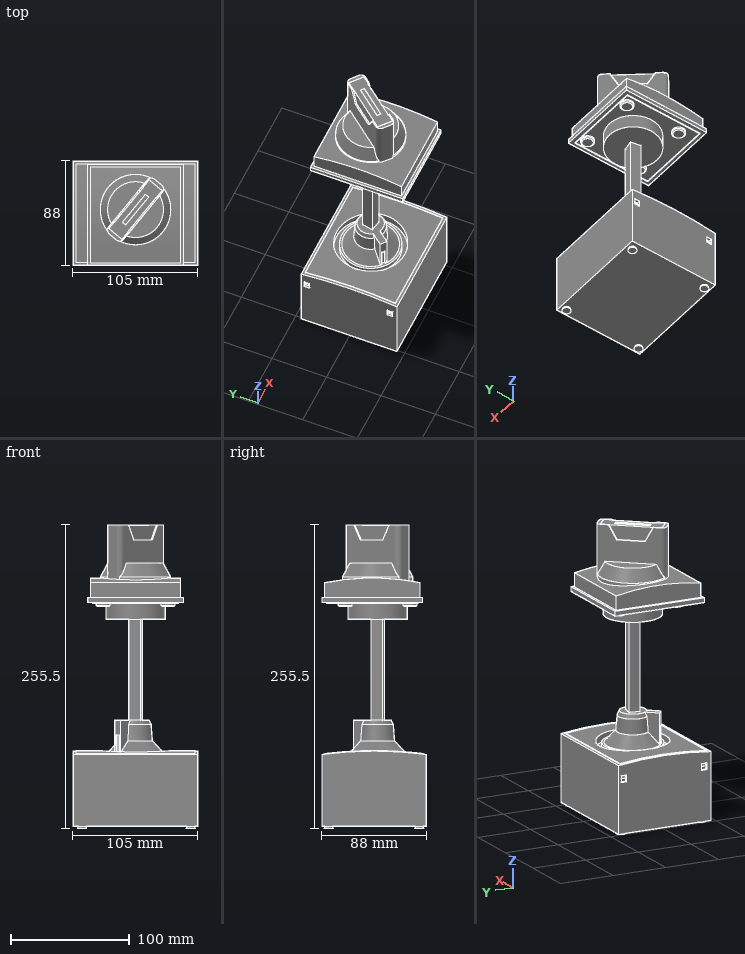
import cadquery as cq


AXIS_X = 0.0
AXIS_Y = 3.0
POINTER_ANGLE = 50.5
SHAFT_ANGLE = -10.5

BASE_LENGTH = 105.0
BASE_WIDTH = 88.0
BASE_BOTTOM = 1.8
BASE_EDGE_TOP = 62.4
BASE_CREST = 65.2
LABEL_INSET = 2.5
LABEL_RAISE = 0.5
DIAL_WELL_RADIUS = 31.2
DIAL_WELL_FLOOR = 58.0

FOOT_RADIUS = 3.8
FOOT_NECK_RADIUS = 3.3
FOOT_CENTRE_X = 0.8
FOOT_OFFSET_X = 45.8
FOOT_OFFSET_Y = 38.0

POCKET_WIDTH = 4.9
POCKET_HEIGHT = 6.0
POCKET_CENTRE_Z = 50.0
POCKET_CENTRE_Y = 0.8
POCKET_OFFSET_Y = 38.0
POCKET_RIDGE_DEPTH = 1.3
POCKET_BOTTOM_DEPTH = 2.0
POCKET_TOP_DEPTH = 3.0

DIAL_RADIUS = 26.3
DIAL_TOP = 63.1
CONE_BASE_RADIUS = 24.3
COLLAR_BASE_RADIUS = 14.3
COLLAR_BASE_Z = 73.9
COLLAR_RADIUS = 13.3
COLLAR_SHOULDER_Z = 87.5
COLLAR_TOP_RADIUS = 11.5
COLLAR_TOP = 91.2
KEY_WIDTH = 6.5
KEY_REACH = 23.8
KEY_SLOT_WIDTH = 3.0
KEY_SLOT_DEPTH = 1.0
KEY_SLOT_TOP = 78.7

SHAFT_SIDE = 10.0
SHAFT_INSERTION = 12.8

PLATE_CENTRE_Y = -1.5
PLATE_LENGTH = 80.8
PLATE_WIDTH = 84.9
PLATE_BOTTOM = 190.2
PLATE_TOP = 194.5
BODY_LENGTH = 76.0
BODY_WIDTH = 80.5
BODY_EDGE_TOP = 207.0
BODY_CREST = 210.9
GASKET_INSET = 4.0
GASKET_THICKNESS = 0.8
BOSS_RADIUS = 25.0
BOSS_BOTTOM = 176.0
SCREW_OFFSET = 27.3
SCREW_RADIUS = 6.0
SCREW_HEIGHT = 3.3
SCREW_CHAMFER = 1.0

SKIRT_RADIUS = 29.6
SKIRT_RIM_TOP = 212.0
SKIRT_TOP_RADIUS = 23.5
SKIRT_TOP = 223.5
GRIP_LENGTH = 59.8
GRIP_WIDTH = 16.4
GRIP_CORNER_RADIUS = 4.3
GRIP_TOP = 255.5
CAP_LENGTH = 53.2
CAP_WIDTH = 14.3
MARK_LENGTH = 30.5
MARK_WIDTH = 3.5
ENGRAVING_DEPTH = 0.3
HOLLOW_TOP_LENGTH = 38.3
HOLLOW_BOTTOM_LENGTH = 24.3
HOLLOW_BOTTOM = 242.8
HOLLOW_DEPTH = 1.3


def block(length, width, bottom, top, x=0.0, y=0.0):
    """Upright rectangular block centred on (x, y)."""
    return (
        cq.Workplane("XY", origin=(x, y, bottom))
        .rect(length, width)
        .extrude(top - bottom)
    )


def cylinder(radius, bottom, top, x=AXIS_X, y=AXIS_Y):
    """Upright cylinder centred on (x, y)."""
    return cq.Workplane("XY", origin=(x, y, bottom)).circle(radius).extrude(top - bottom)


def turned(profile):
    """Solid turned about the common axis from (radius, z) points."""
    return (
        cq.Workplane("XZ", origin=(AXIS_X, AXIS_Y, 0))
        .polyline(profile)
        .close()
        .revolve(360, (0, 0, 0), (0, 1, 0))
    )


def crowned_block(length, width, bottom, edge_top, crest, y=0.0):
    """Block whose top is an arc across Y, highest along its middle."""
    half = width / 2
    return (
        cq.Workplane("YZ", origin=(-length / 2, y, 0))
        .moveTo(-half, bottom)
        .lineTo(half, bottom)
        .lineTo(half, edge_top)
        .threePointArc((0, crest), (-half, edge_top))
        .close()
        .extrude(length)
    )


def turn_about_axis(shape, angle):
    return shape.rotate((AXIS_X, AXIS_Y, 0), (AXIS_X, AXIS_Y, 1), angle)


def make_shaft():
    shaft = block(
        SHAFT_SIDE,
        SHAFT_SIDE,
        COLLAR_TOP - SHAFT_INSERTION,
        BOSS_BOTTOM + SHAFT_INSERTION,
        AXIS_X,
        AXIS_Y,
    )
    return turn_about_axis(shaft, SHAFT_ANGLE)


def make_dial():
    """Conical dial with a tapered collar and a slotted radial key."""
    dial = turned([
        (0, DIAL_WELL_FLOOR),
        (DIAL_RADIUS, DIAL_WELL_FLOOR),
        (DIAL_RADIUS, DIAL_TOP),
        (CONE_BASE_RADIUS, DIAL_TOP),
        (COLLAR_BASE_RADIUS, COLLAR_BASE_Z),
        (COLLAR_RADIUS, COLLAR_SHOULDER_Z),
        (COLLAR_TOP_RADIUS, COLLAR_TOP),
        (0, COLLAR_TOP),
    ])
    key = block(KEY_REACH, KEY_WIDTH, DIAL_WELL_FLOOR, COLLAR_TOP, AXIS_X - KEY_REACH / 2, AXIS_Y)
    slot = block(
        2 * KEY_SLOT_DEPTH, KEY_SLOT_WIDTH, DIAL_TOP, KEY_SLOT_TOP, AXIS_X - KEY_REACH, AXIS_Y
    )
    return dial.union(turn_about_axis(key, POINTER_ANGLE)).cut(turn_about_axis(slot, POINTER_ANGLE))


def make_latch_pocket(y):
    """Pocket in the -X wall whose floor rises to a ridge at mid height."""
    wall = -BASE_LENGTH / 2
    bottom = POCKET_CENTRE_Z - POCKET_HEIGHT / 2
    top = POCKET_CENTRE_Z + POCKET_HEIGHT / 2
    return (
        cq.Workplane("XZ", origin=(0, y + POCKET_WIDTH / 2, 0))
        .moveTo(wall, bottom)
        .lineTo(wall + POCKET_BOTTOM_DEPTH, bottom)
        .lineTo(wall + POCKET_RIDGE_DEPTH, POCKET_CENTRE_Z)
        .lineTo(wall + POCKET_TOP_DEPTH, top)
        .lineTo(wall, top)
        .close()
        .extrude(POCKET_WIDTH)
    )


def make_foot(x, y):
    """Round foot that flares slightly towards its sole."""
    return (
        cq.Workplane("XY", origin=(x, y, 0))
        .circle(FOOT_RADIUS)
        .workplane(offset=BASE_BOTTOM)
        .circle(FOOT_NECK_RADIUS)
        .loft()
    )


def make_base(shaft):
    base = crowned_block(BASE_LENGTH, BASE_WIDTH, BASE_BOTTOM, BASE_EDGE_TOP, BASE_CREST)

    label = crowned_block(
        BASE_LENGTH, BASE_WIDTH, BASE_BOTTOM, BASE_EDGE_TOP + LABEL_RAISE, BASE_CREST + LABEL_RAISE
    )
    panel = block(
        BASE_LENGTH - 2 * LABEL_INSET,
        BASE_WIDTH - 2 * LABEL_INSET,
        BASE_BOTTOM,
        BASE_CREST + LABEL_RAISE,
    )
    base = base.union(label.intersect(panel))

    base = base.cut(cylinder(DIAL_WELL_RADIUS, DIAL_WELL_FLOOR, BASE_CREST + LABEL_RAISE))
    base = base.union(make_dial())

    for y_side in (-1, 1):
        base = base.cut(make_latch_pocket(POCKET_CENTRE_Y + y_side * POCKET_OFFSET_Y))
        for x_side in (-1, 1):
            base = base.union(make_foot(FOOT_CENTRE_X + x_side * FOOT_OFFSET_X, y_side * FOOT_OFFSET_Y))
    return base.cut(shaft)


def make_grip_hollow():
    """Trapezoidal finger hollow in the +Y flank of the grip, before it is turned."""
    flank_y = AXIS_Y + GRIP_WIDTH / 2
    return (
        cq.Workplane("XZ", origin=(AXIS_X, flank_y, 0))
        .polyline([
            (-HOLLOW_TOP_LENGTH / 2, GRIP_TOP),
            (-HOLLOW_BOTTOM_LENGTH / 2, HOLLOW_BOTTOM),
            (HOLLOW_BOTTOM_LENGTH / 2, HOLLOW_BOTTOM),
            (HOLLOW_TOP_LENGTH / 2, GRIP_TOP),
        ])
        .close()
        .extrude(HOLLOW_DEPTH)
    )


def make_grip():
    """Rounded upright bar with an engraved cap and two finger hollows."""
    grip = block(GRIP_LENGTH, GRIP_WIDTH, PLATE_TOP, GRIP_TOP, AXIS_X, AXIS_Y)
    grip = grip.edges("|Z").fillet(GRIP_CORNER_RADIUS)
    cap_z = GRIP_TOP - ENGRAVING_DEPTH
    cap = block(CAP_LENGTH, CAP_WIDTH, cap_z, GRIP_TOP, AXIS_X, AXIS_Y)
    mark = block(MARK_LENGTH, MARK_WIDTH, cap_z - ENGRAVING_DEPTH, cap_z, AXIS_X, AXIS_Y)
    hollow = make_grip_hollow()
    grip = grip.cut(cap).cut(mark).cut(hollow).cut(turn_about_axis(hollow, 180))
    return turn_about_axis(grip, POINTER_ANGLE)


def make_knob(shaft):
    knob = block(PLATE_LENGTH, PLATE_WIDTH, PLATE_BOTTOM, PLATE_TOP, 0, PLATE_CENTRE_Y)
    knob = knob.union(
        crowned_block(BODY_LENGTH, BODY_WIDTH, PLATE_TOP, BODY_EDGE_TOP, BODY_CREST, PLATE_CENTRE_Y)
    )
    knob = knob.union(block(
        PLATE_LENGTH - 2 * GASKET_INSET,
        PLATE_WIDTH - 2 * GASKET_INSET,
        PLATE_BOTTOM - GASKET_THICKNESS,
        PLATE_BOTTOM,
        0,
        PLATE_CENTRE_Y,
    ))
    knob = knob.union(cylinder(BOSS_RADIUS, BOSS_BOTTOM, PLATE_BOTTOM))

    for x_side in (-1, 1):
        for y_side in (-1, 1):
            screw = cylinder(
                SCREW_RADIUS,
                PLATE_BOTTOM - SCREW_HEIGHT,
                PLATE_BOTTOM,
                AXIS_X + x_side * SCREW_OFFSET,
                AXIS_Y + y_side * SCREW_OFFSET,
            )
            knob = knob.union(screw.faces("<Z").chamfer(SCREW_CHAMFER))

    skirt = turned([
        (0, PLATE_TOP),
        (SKIRT_RADIUS, PLATE_TOP),
        (SKIRT_RADIUS, SKIRT_RIM_TOP),
        (SKIRT_TOP_RADIUS, SKIRT_TOP),
        (0, SKIRT_TOP),
    ])
    return knob.union(skirt).union(make_grip()).cut(shaft)


shaft = make_shaft()
base = make_base(shaft)
knob = make_knob(shaft)

result = cq.Compound.makeCompound([base.val(), shaft.val(), knob.val()])